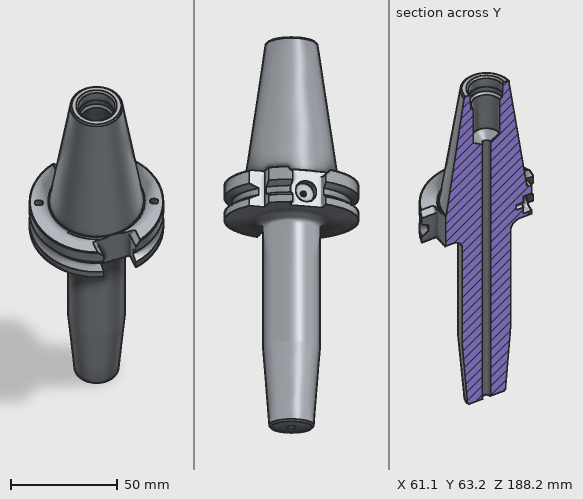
import cadquery as cq
import math

TOTAL_LENGTH = 188.2
TAPER_LENGTH = 68.3
GAUGE_Z = TOTAL_LENGTH - TAPER_LENGTH

ARC_MID_INSET = 1 - math.sqrt(0.5)

GAUGE_RADIUS = 22.2
TAPER_RATIO = 7 / 24
TAPER_EDGE = 0.8
TAPER_TOP_RADIUS = GAUGE_RADIUS - (TAPER_LENGTH - TAPER_EDGE) * TAPER_RATIO / 2
COLLAR_RADIUS = 22.8
COLLAR_HEIGHT = 1.0
COLLAR_FILLET = 0.5

FLANGE_RADIUS = 31.6
FLANGE_TOP_Z = GAUGE_Z - COLLAR_HEIGHT
FLANGE_THICKNESS = 17.5
FLANGE_BOTTOM_Z = FLANGE_TOP_Z - FLANGE_THICKNESS
FLANGE_EDGE = 0.4
GROOVE_BELOW_GAUGE = 11.1
GROOVE_Z = GAUGE_Z - GROOVE_BELOW_GAUGE
GROOVE_FLOOR_RADIUS = 28.0
GROOVE_FLOOR_WIDTH = 3.2
GROOVE_WALL_ANGLE = 30
GROOVE_FLARE = (FLANGE_RADIUS - GROOVE_FLOOR_RADIUS) * math.tan(math.radians(GROOVE_WALL_ANGLE))

NECK_DIAMETER = 27.0
NECK_RADIUS = NECK_DIAMETER / 2
NECK_FILLET = 4.9
NOSE_RADIUS = 10.5
NOSE_LENGTH = 38.4
NOSE_CHAMFER = 1.0

SLOT_WIDTH = 16.2
SLOT_FLOOR_LEFT = 24.8
SLOT_FLOOR_RIGHT = 22.5
SLOT_CORNER_RADIUS = 1.0
SLOT_MOUTH_CHAMFER = 2.6

NOTCH_X = 18.3
NOTCH_Y = 18.5

RECESS_RADIUS = 8.7
RECESS_DEPTH = 6.0
RECESS_CHAMFER = 1.0
RELIEF_RADIUS = 8.5
RELIEF_DEPTH = 8.7
THREAD_RADIUS = 7.2
THREAD_TOP_DEPTH = 9.8
THREAD_BOTTOM_DEPTH = 30.1
SEAT_RADIUS = 4.9
SEAT_DEPTH = 31.5
COOLANT_RADIUS = 2.0
COOLANT_DEPTH = 33.1

CHIP_RADIUS = 5.0
CHIP_DEPTH = 4.5
CHIP_PILOT_RADIUS = 1.3
CHIP_PILOT_DEPTH = 3.8

FLANGE_HOLE_RADIUS = 1.7
FLANGE_HOLE_PITCH_RADIUS = 27.1
FLANGE_HOLE_TILT = 30
FLANGE_HOLE_DEPTH = 11.3
FLANGE_HOLE_BEARINGS = (70, 250)


def make_body():
    """Solid of revolution: nose, neck, flange, collar and taper."""
    groove_half = GROOVE_FLOOR_WIDTH / 2
    neck_mid = NECK_FILLET * ARC_MID_INSET
    collar_mid = COLLAR_FILLET * ARC_MID_INSET
    profile = (
        cq.Workplane("XZ")
        .moveTo(0, 0)
        .lineTo(NOSE_RADIUS - NOSE_CHAMFER, 0)
        .lineTo(NOSE_RADIUS, NOSE_CHAMFER)
        .lineTo(NECK_RADIUS, NOSE_LENGTH)
        .lineTo(NECK_RADIUS, FLANGE_BOTTOM_Z - NECK_FILLET)
        .threePointArc(
            (NECK_RADIUS + neck_mid, FLANGE_BOTTOM_Z - neck_mid),
            (NECK_RADIUS + NECK_FILLET, FLANGE_BOTTOM_Z),
        )
        .lineTo(FLANGE_RADIUS, FLANGE_BOTTOM_Z)
        .lineTo(FLANGE_RADIUS, GROOVE_Z - groove_half - GROOVE_FLARE)
        .lineTo(GROOVE_FLOOR_RADIUS, GROOVE_Z - groove_half)
        .lineTo(GROOVE_FLOOR_RADIUS, GROOVE_Z + groove_half)
        .lineTo(FLANGE_RADIUS, GROOVE_Z + groove_half + GROOVE_FLARE)
        .lineTo(FLANGE_RADIUS, FLANGE_TOP_Z - FLANGE_EDGE)
        .lineTo(FLANGE_RADIUS - FLANGE_EDGE, FLANGE_TOP_Z)
        .lineTo(COLLAR_RADIUS + COLLAR_FILLET, FLANGE_TOP_Z)
        .threePointArc(
            (COLLAR_RADIUS + collar_mid, FLANGE_TOP_Z + collar_mid),
            (COLLAR_RADIUS, FLANGE_TOP_Z + COLLAR_FILLET),
        )
        .lineTo(COLLAR_RADIUS, GAUGE_Z)
        .lineTo(GAUGE_RADIUS, GAUGE_Z)
        .lineTo(TAPER_TOP_RADIUS, TOTAL_LENGTH - TAPER_EDGE)
        .lineTo(TAPER_TOP_RADIUS - TAPER_EDGE, TOTAL_LENGTH)
        .lineTo(0, TOTAL_LENGTH)
        .close()
    )
    return profile.revolve(360, (0, 0, 0), (0, 1, 0))


def make_bore():
    """Central bore, stepping down from the drawbar recess to the coolant hole."""
    steps = [
        (RECESS_RADIUS + RECESS_CHAMFER, 0),
        (RECESS_RADIUS, RECESS_CHAMFER),
        (RECESS_RADIUS, RECESS_DEPTH),
        (RELIEF_RADIUS, RECESS_DEPTH),
        (RELIEF_RADIUS, RELIEF_DEPTH),
        (THREAD_RADIUS, THREAD_TOP_DEPTH),
        (THREAD_RADIUS, THREAD_BOTTOM_DEPTH),
        (SEAT_RADIUS, SEAT_DEPTH),
        (COOLANT_RADIUS, COOLANT_DEPTH),
        (COOLANT_RADIUS, TOTAL_LENGTH),
    ]
    outline = [(0, TOTAL_LENGTH)]
    outline += [(radius, TOTAL_LENGTH - depth) for radius, depth in steps]
    outline += [(0, 0)]
    return cq.Workplane("XZ").polyline(outline).close().revolve(360, (0, 0, 0), (0, 1, 0))


def make_slot(side, floor):
    """Drive slot cutter: rounded floor corners and a flared mouth, open up to the gauge plane."""
    half = SLOT_WIDTH / 2
    half_mouth = half + SLOT_MOUTH_CHAMFER
    return (
        cq.Workplane("YZ", origin=(side * floor, 0, 0))
        .moveTo(-half, FLANGE_BOTTOM_Z)
        .lineTo(half, FLANGE_BOTTOM_Z)
        .lineTo(half, FLANGE_TOP_Z - SLOT_MOUTH_CHAMFER)
        .lineTo(half_mouth, FLANGE_TOP_Z)
        .lineTo(half_mouth, GAUGE_Z)
        .lineTo(-half_mouth, GAUGE_Z)
        .lineTo(-half_mouth, FLANGE_TOP_Z)
        .lineTo(-half, FLANGE_TOP_Z - SLOT_MOUTH_CHAMFER)
        .close()
        .extrude(side * FLANGE_RADIUS)
        .faces("<X" if side > 0 else ">X")
        .edges("not |Y")
        .fillet(SLOT_CORNER_RADIUS)
    )


def make_notch():
    """Square corner removed from the flange."""
    return (
        cq.Workplane("XY", origin=(-NOTCH_X, NOTCH_Y, FLANGE_BOTTOM_Z))
        .rect(-FLANGE_RADIUS, FLANGE_RADIUS, centered=False)
        .extrude(FLANGE_THICKNESS)
    )


def make_chip_pocket():
    """Round pocket with a small pilot hole, entering from the -X slot floor."""
    floor = cq.Workplane("YZ", origin=(-SLOT_FLOOR_LEFT, 0, GROOVE_Z))
    pocket = floor.circle(CHIP_RADIUS).extrude(CHIP_DEPTH)
    pilot = floor.circle(CHIP_PILOT_RADIUS).extrude(CHIP_DEPTH + CHIP_PILOT_DEPTH)
    return pocket.union(pilot)


def make_flange_hole(bearing):
    """Blind hole from the flange face, leaning towards the tool axis as it goes down."""
    lead_in = FLANGE_HOLE_RADIUS
    return (
        cq.Workplane("XY", origin=(0, 0, -FLANGE_HOLE_DEPTH))
        .circle(FLANGE_HOLE_RADIUS)
        .extrude(FLANGE_HOLE_DEPTH + lead_in)
        .rotate((0, 0, 0), (0, 1, 0), FLANGE_HOLE_TILT)
        .translate((FLANGE_HOLE_PITCH_RADIUS, 0, FLANGE_TOP_Z))
        .rotate((0, 0, 0), (0, 0, 1), bearing)
    )


result = make_body().cut(make_bore())
result = result.cut(make_slot(-1, SLOT_FLOOR_LEFT)).cut(make_slot(1, SLOT_FLOOR_RIGHT))
result = result.cut(make_notch()).cut(make_chip_pocket())
for hole_bearing in FLANGE_HOLE_BEARINGS:
    result = result.cut(make_flange_hole(hole_bearing))